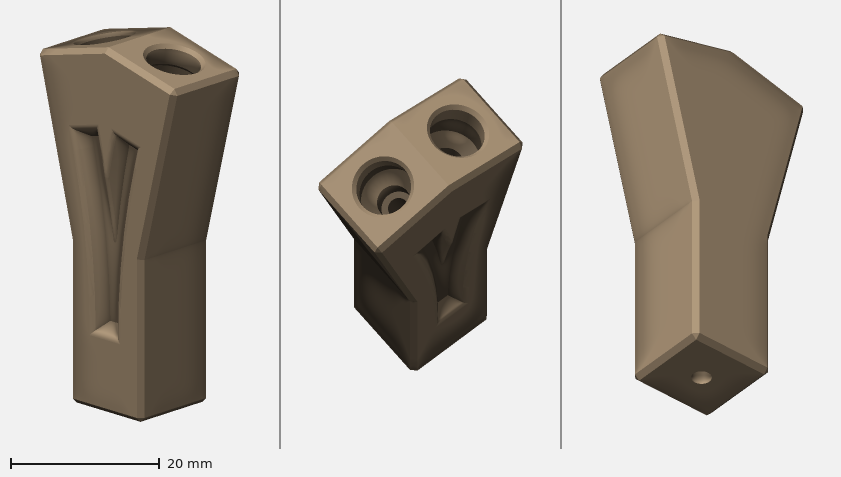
import cadquery as cq
import math

HEIGHT = 51.6
HEAD_WIDTH = 25.65
BODY_SIDE = 13.35
EDGE_CHAMFER = 0.7
ARM_ANGLE = 14.0

SOCKET_DIA = 8.5
LIP_DIA = 7.5
SEAT_DIA = 4.6
LIP_DEPTH = 2.85
CONE_START_DEPTH = 6.5
CONE_END_DEPTH = 7.75
SEAT_DEPTH = 10.95

PASSAGE_DIA = 2.8
PASSAGE_BEND_DEPTH = 15.8

RECESS_MARGIN = 10.9
RECESS_DEPTH = 1.95
RECESS_FLOOR_WIDTH = 1.7
RECESS_WALL_DRAFT = 38.0
INNER_WALL_RADIUS = 112.5
RIM_ROUNDING = 1.0
RIDGE_ROUNDING = 0.5

GAP = 0.05

SIN = math.sin(math.radians(ARM_ANGLE))
COS = math.cos(math.radians(ARM_ANGLE))
TAN = math.tan(math.radians(ARM_ANGLE))
HALF_TAN = math.tan(math.radians(ARM_ANGLE / 2))

shoulder_x = HEAD_WIDTH / 2 + EDGE_CHAMFER * SIN
shoulder_z = HEIGHT - shoulder_x * TAN
waist_x = BODY_SIDE / 2
waist_z = shoulder_z - (shoulder_x - waist_x) / TAN
front_y = -BODY_SIDE / 2

mouth_x = -shoulder_x / 2
mouth_z = HEIGHT + mouth_x * TAN
axis_length = -mouth_x / SIN
meeting_z = mouth_z - axis_length * COS

rim_side = RECESS_FLOOR_WIDTH / 2 + RECESS_DEPTH * math.tan(math.radians(RECESS_WALL_DRAFT))

recess_bend_tangent = meeting_z - RECESS_MARGIN
recess_bend_radius = recess_bend_tangent / HALF_TAN
recess_bend_depth = axis_length - recess_bend_tangent


def arm_point(depth, side=0):
    """(x, z) at a depth along the left arm axis, shifted sideways toward the centre plane."""
    return (mouth_x + depth * SIN + side * COS, mouth_z - depth * COS + side * SIN)


def bend_points(start, radius):
    """Middle and end of an arc that turns from the left arm direction at start to straight down."""
    centre_x = start[0] - radius * COS
    centre_z = start[1] - radius * SIN
    half_turn = math.radians(ARM_ANGLE / 2)
    middle = (centre_x + radius * math.cos(half_turn), centre_z + radius * math.sin(half_turn))
    return middle, (centre_x + radius, centre_z)


def both_arms(left):
    return left.union(left.mirror("YZ"))


def make_body():
    """Square body that widens into the roofed head, chamfered on its outer edges."""
    outline = [
        (-waist_x, 0),
        (waist_x, 0),
        (waist_x, waist_z),
        (shoulder_x, shoulder_z),
        (0, HEIGHT),
        (-shoulder_x, shoulder_z),
        (-waist_x, waist_z),
    ]
    body = cq.Workplane("XZ").polyline(outline).close().extrude(BODY_SIDE / 2, both=True)
    shoulder_box = cq.selectors.BoxSelector(
        (-HEAD_WIDTH, -BODY_SIDE, shoulder_z - GAP), (HEAD_WIDTH, BODY_SIDE, shoulder_z + GAP)
    )
    across = body.edges("|Y")
    front_and_back = body.faces("<Y or >Y").edges()
    edges = front_and_back.add(across.edges("<Z")).add(across.edges(shoulder_box))
    return edges.chamfer(EDGE_CHAMFER)


def make_socket():
    """Left socket: lip with 45 degree slopes, wide chamber, conical step and seat."""
    lip_slope = (SOCKET_DIA - LIP_DIA) / 2
    profile = [
        (0, 0),
        (SOCKET_DIA / 2, 0),
        (LIP_DIA / 2, -lip_slope),
        (LIP_DIA / 2, -LIP_DEPTH),
        (SOCKET_DIA / 2, -LIP_DEPTH - lip_slope),
        (SOCKET_DIA / 2, -CONE_START_DEPTH),
        (SEAT_DIA / 2, -CONE_END_DEPTH),
        (SEAT_DIA / 2, -SEAT_DEPTH),
        (0, -SEAT_DEPTH),
    ]
    socket = cq.Workplane("XZ").polyline(profile).close().revolve(360, (0, 0), (0, 1))
    return socket.rotate((0, 0, 0), (0, 1, 0), -ARM_ANGLE).translate((mouth_x, 0, mouth_z))


def make_passage():
    """Left passage: up the centre line from the bottom, through a bend, then along the arm axis."""
    bend_start = arm_point(PASSAGE_BEND_DEPTH)
    radius = (axis_length - PASSAGE_BEND_DEPTH) / HALF_TAN
    bend_middle, bend_end = bend_points(bend_start, radius)
    path = (
        cq.Workplane("XZ")
        .moveTo(0, 0)
        .lineTo(*bend_end)
        .threePointArc(bend_middle, bend_start)
        .lineTo(mouth_x, mouth_z)
    )
    return cq.Workplane("XY").circle(PASSAGE_DIA / 2).sweep(path)


def make_recess_arm():
    """Left half of the recess; its outer wall bends below a straight, its inner wall from the top."""
    outer_start = arm_point(recess_bend_depth, -rim_side)
    outer_bend = bend_points(outer_start, recess_bend_radius - rim_side)
    inner_top = arm_point(RECESS_MARGIN, rim_side)
    inner_bend = bend_points(inner_top, INNER_WALL_RADIUS)
    return (
        cq.Workplane("XZ", origin=(0, front_y, 0))
        .moveTo(*arm_point(RECESS_MARGIN, -rim_side))
        .lineTo(*outer_start)
        .threePointArc(*outer_bend)
        .lineTo(inner_bend[1][0], RECESS_MARGIN)
        .lineTo(*inner_bend[1])
        .threePointArc(inner_bend[0], inner_top)
        .close()
        .extrude(-RECESS_DEPTH, taper=RECESS_WALL_DRAFT)
    )


def cut_recess(body):
    """Cut the recess, then round its rim and the ridge between its arms."""
    recessed = body.cut(both_arms(make_recess_arm()))
    rim_x = waist_x - EDGE_CHAMFER - GAP
    rim_box = cq.selectors.BoxSelector(
        (-rim_x, front_y - GAP, EDGE_CHAMFER + GAP), (rim_x, front_y + GAP, shoulder_z - RECESS_DEPTH)
    )
    rounded = recessed.faces("<Y").edges(rim_box).fillet(RIM_ROUNDING)
    ridge_box = cq.selectors.BoxSelector(
        (-GAP, front_y + 2 * GAP, waist_z),
        (GAP, front_y + RECESS_DEPTH - GAP, arm_point(recess_bend_depth)[1] - RIM_ROUNDING),
    )
    return rounded.edges(ridge_box).fillet(RIDGE_ROUNDING)


body = cut_recess(make_body())
result = body.cut(both_arms(make_socket())).cut(both_arms(make_passage()))